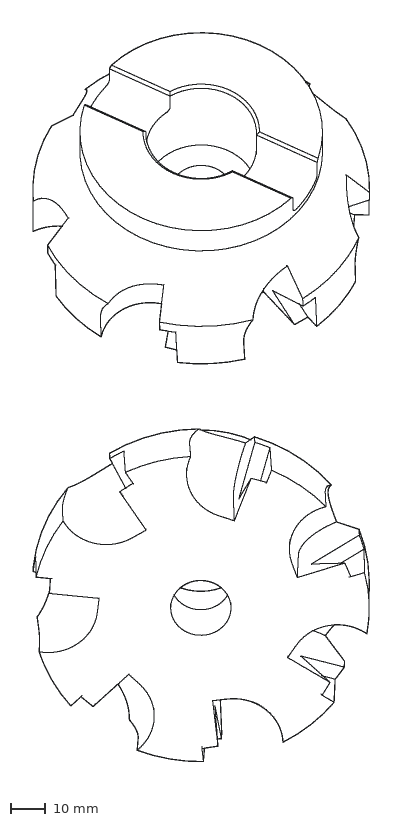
import cadquery as cq
import math

rim_radius = 48.7
rim_height = 18.8
collar_radius = 35.1
collar_base = 37.3
height = 47.4
dish_angle = 1.0

bore_diameter = 31.9
bore_depth = 29.2
edge_chamfer = 0.9
bolt_hole_diameter = 17.4

slot_width = 14.4
slot_depth = 8.0
slot_fillet = 1.5

flute_count = 7
first_flute_angle = 182.7
flute_inner_radius = 4.7
flute_floor_fillet = 14.1
flute_floor_position = 29.9
flute_center_height = 9.8
flute_wall_offset = 0.6
flute_tilt = 2.0
flute_twist = 1.9

seat_depth = 4.7
seat_tip_position = 34.0
seat_tip_height = 6.1
seat_half_angle = 31.0
seat_tilt = 0.0

clearance = 1.0
reach = 58.4


def make_body():
    dish_rise = rim_radius * math.tan(math.radians(dish_angle))
    return (
        cq.Workplane("XZ")
        .moveTo(0, dish_rise)
        .lineTo(rim_radius, 0)
        .lineTo(rim_radius, rim_height)
        .lineTo(collar_radius, collar_base)
        .lineTo(collar_radius, height)
        .lineTo(0, height)
        .close()
        .revolve(360, (0, 0, 0), (0, 1, 0))
    )


def make_bore():
    bore_radius = bore_diameter / 2
    bore_floor = height - bore_depth
    bore = (
        cq.Workplane("XZ")
        .moveTo(0, bore_floor)
        .lineTo(bore_radius, bore_floor)
        .lineTo(bore_radius, height - edge_chamfer)
        .lineTo(bore_radius + edge_chamfer, height)
        .lineTo(0, height)
        .close()
        .revolve(360, (0, 0, 0), (0, 1, 0))
    )
    bolt_hole = cq.Workplane("XY").circle(bolt_hole_diameter / 2).extrude(height)
    return bore.union(bolt_hole)


def make_slot():
    half_width = slot_width / 2
    slot_floor = height - slot_depth
    right_side = [
        (half_width, height - edge_chamfer),
        (half_width + edge_chamfer, height),
    ]
    left_side = [(-y, z) for y, z in reversed(right_side)]
    return (
        cq.Workplane("YZ")
        .moveTo(-half_width + slot_fillet, slot_floor)
        .lineTo(half_width - slot_fillet, slot_floor)
        .radiusArc((half_width, slot_floor + slot_fillet), -slot_fillet)
        .polyline(right_side + left_side, includeCurrent=True)
        .lineTo(-half_width, slot_floor + slot_fillet)
        .radiusArc((-half_width + slot_fillet, slot_floor), -slot_fillet)
        .close()
        .extrude(collar_radius + clearance, both=True)
    )


def flute_profile():
    """Half section of the rounded cutter that forms a flute, with its axis along +X."""
    outer_radius = flute_inner_radius + flute_floor_fillet
    length = reach - flute_floor_position
    return (
        cq.Workplane("XY")
        .lineTo(0, -flute_inner_radius)
        .radiusArc((flute_floor_fillet, -outer_radius), -flute_floor_fillet)
        .lineTo(length, -outer_radius)
        .lineTo(length, 0)
        .close()
    )


def make_flute():
    """Flute pointing along +X, with its flat wall in the XZ plane and its space on the -Y side."""
    rounded_top = flute_profile().revolve(90, (0, 0, 0), (-1, 0, 0))
    straight_part = flute_profile().extrude(-(flute_center_height + 2 * clearance))
    return rounded_top.union(straight_part)


def make_seat():
    """Triangular seat of a flute pointing along +X, cut into the flute wall towards +Y."""
    tip_x = seat_tip_position - flute_floor_position
    tip_z = seat_tip_height - flute_center_height
    length = reach - seat_tip_position
    half_opening = length * math.tan(math.radians(seat_half_angle))
    return (
        cq.Workplane("XZ", origin=(0, -clearance, 0))
        .moveTo(tip_x, tip_z)
        .lineTo(tip_x + length, tip_z + half_opening)
        .lineTo(tip_x + length, tip_z - half_opening)
        .close()
        .extrude(-(seat_depth + clearance))
    )


def place_cutter(cutter, tilt, angle):
    return (
        cutter.rotate((0, 0, 0), (1, 0, 0), flute_twist)
        .rotate((0, 0, 0), (0, 1, 0), tilt)
        .translate((flute_floor_position, -flute_wall_offset, flute_center_height))
        .rotate((0, 0, 0), (0, 0, 1), angle)
    )


result = make_body().cut(make_bore()).cut(make_slot())

flute = make_flute()
seat = make_seat()
for index in range(flute_count):
    flute_angle = first_flute_angle + index * 360 / flute_count
    result = result.cut(place_cutter(flute, flute_tilt, flute_angle))
    result = result.cut(place_cutter(seat, seat_tilt, flute_angle))